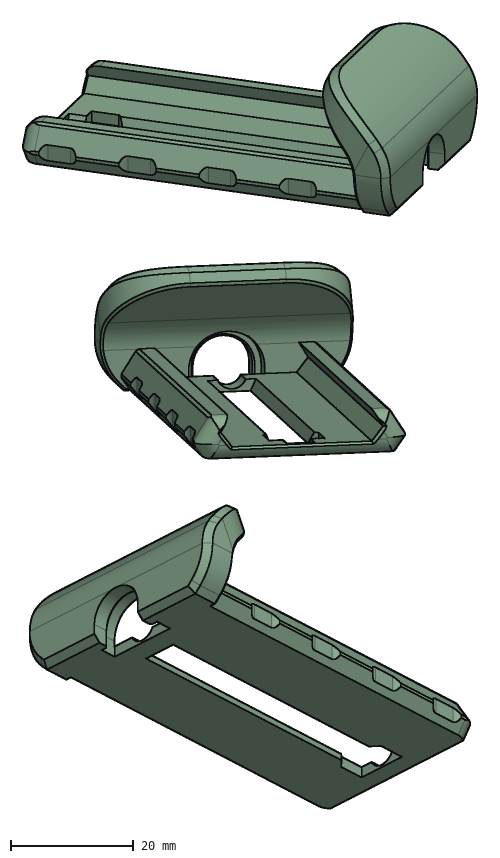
import cadquery as cq
import math

LENGTH = 66.0
LIP_HALF_WIDTH = 21.0

RAIL_TOP = 6.9
FLOOR_TOP = 2.0
RAIL_FACE = 17.55
RAIL_FACE_LOW, RAIL_FACE_HIGH = 2.25, 2.85
BOTTOM_HALF_WIDTH = 16.0
SLOPE_TOP = (15.2, 6.55)
TOP_BEVEL_Y = 14.6
CHANNEL_TOP, CHANNEL_WAIST, CHANNEL_FLOOR = 12.0, 13.5, 11.6
WAIST_Z = 4.4
END_RADIUS = 3.05
UNDERSIDE_CUT = 0.65
CHANNEL_BEVEL = 0.5

NOTCH_COUNT = 4
NOTCH_FIRST_X = 7.05
NOTCH_PITCH = 14.0
NOTCH_FLAT = 3.9
NOTCH_LENGTH = 6.5
NOTCH_DEPTH = 0.7

LIP_INNER_X = 59.9
BEND_START_Z = 8.0
TIP_INNER = (50.75, 18.95)
TIP_THICKNESS = 3.35
TIP_TILT = math.atan(2)
INNER_BEND_START_Z = RAIL_TOP
INNER_CORNER_Z = 9.85
OUTER_BEND_END = (64.55, 12.9)
TIP_FLAT_HALF_WIDTH = 8.0
LOWER_CORNER_RADIUS = 9.7
OUTER_CHAMFER = 1.2
INNER_CHAMFER = 0.4
OUTER_FACE_POINTS = [(LENGTH, 0, 3.95), (65.5, 0, 10.55), (59.4, 0, 18.5)]
INNER_FACE_POINTS = [(LIP_INNER_X, 0, 3.95), (59.35, 0, 9.9), (54.1, 0, 15.65)]

ARCH_CENTER_Z = 3.0
ARCH_RADIUS = 4.95
ARCH_RECESS_RADIUS = 6.35
ARCH_STEP_X = 62.9
ARCH_BEVEL = 0.3

SLOT_START, SLOT_END = 4.55, 55.9
HEAD_END, NECK_START = 9.3, 10.6
HEAD_HALF_WIDTH = 4.6
SLOT_TOP_HALF_WIDTH, SLOT_HALF_WIDTH = 4.0, 3.1
TROUGH_RADIUS = 2.5
TROUGH_AXIS_Z = ARCH_CENTER_Z
TROUGH_START = 1.5

REACH = 2 * LENGTH


def mirrored_section(half):
    """Closed YZ section from its +Y half, listed from the bottom up."""
    other_half = [(-y, z) for y, z in reversed(half)]
    return cq.Workplane("YZ").polyline(half + other_half).close()


def rounded_end_slab(face_start, face_end):
    """Solid behind one outer face of the tray, rounded where that face meets the X = 0 end.

    The face holds the two (Y, Z) points; the solid lies to the left going from start to end.
    """
    dy = face_end[0] - face_start[0]
    dz = face_end[1] - face_start[1]
    plane = cq.Plane(
        origin=(0, face_start[0], face_start[1]),
        xDir=(1, 0, 0),
        normal=(0, dy, dz),
    )
    return (
        cq.Workplane(plane)
        .moveTo(END_RADIUS, 0)
        .lineTo(LENGTH, 0)
        .lineTo(LENGTH, -REACH)
        .lineTo(0, -REACH)
        .lineTo(0, -END_RADIUS)
        .radiusArc((END_RADIUS, 0), END_RADIUS)
        .close()
        .extrude(REACH, both=True)
    )


def make_tray():
    section = mirrored_section([
        (BOTTOM_HALF_WIDTH, 0),
        (RAIL_FACE, RAIL_FACE_LOW),
        (RAIL_FACE, RAIL_FACE_HIGH),
        SLOPE_TOP,
        (TOP_BEVEL_Y, RAIL_TOP),
    ])
    tray = section.extrude(LIP_INNER_X + INNER_CHAMFER)

    tray = tray.intersect(rounded_end_slab((0, RAIL_TOP), (-1, RAIL_TOP)))
    tray = tray.intersect(rounded_end_slab((0, -UNDERSIDE_CUT), (1, -UNDERSIDE_CUT)))
    for start, end in (
        ((RAIL_FACE, RAIL_FACE_HIGH), SLOPE_TOP),
        ((BOTTOM_HALF_WIDTH, 0), (RAIL_FACE, RAIL_FACE_LOW)),
    ):
        slab = rounded_end_slab(start, end)
        tray = tray.intersect(slab).intersect(slab.mirror("XZ"))

    channel_half = [
        (CHANNEL_FLOOR, FLOOR_TOP),
        (CHANNEL_WAIST, WAIST_Z),
        (CHANNEL_TOP, RAIL_TOP),
    ]
    channel = mirrored_section(channel_half).extrude(LENGTH)
    mouth = mirrored_section(channel_half).offset2D(CHANNEL_BEVEL, "intersection")
    mouth_bevel = mouth.extrude(CHANNEL_BEVEL, taper=45)
    return tray.cut(channel).cut(mouth_bevel)


def grip_notches():
    half_flat = NOTCH_FLAT / 2
    half_length = NOTCH_LENGTH / 2
    run_out = half_length - half_flat
    radius = (run_out**2 + NOTCH_DEPTH**2) / (2 * NOTCH_DEPTH)
    bottom_y = RAIL_FACE - NOTCH_DEPTH
    notch = (
        cq.Workplane("XY")
        .moveTo(-half_length, RAIL_FACE)
        .radiusArc((-half_flat, bottom_y), -radius)
        .lineTo(half_flat, bottom_y)
        .radiusArc((half_length, RAIL_FACE), -radius)
        .close()
        .extrude(RAIL_TOP)
    )
    pair = notch.union(notch.mirror("XZ"))
    notches = cq.Workplane("XY")
    for i in range(NOTCH_COUNT):
        notches = notches.union(pair.translate((NOTCH_FIRST_X + i * NOTCH_PITCH, 0, 0)))
    return notches


def floor_slot():
    upper = [
        (SLOT_START, HEAD_HALF_WIDTH),
        (HEAD_END, HEAD_HALF_WIDTH),
        (NECK_START, SLOT_HALF_WIDTH),
        (SLOT_END, SLOT_HALF_WIDTH),
    ]
    lower = [(x, -y) for x, y in reversed(upper)]
    opening = cq.Workplane("XY").polyline(upper + lower).close().extrude(FLOOR_TOP)
    flared = (
        cq.Workplane("YZ", origin=(HEAD_END, 0, 0))
        .polyline([
            (-SLOT_HALF_WIDTH, 0),
            (SLOT_HALF_WIDTH, 0),
            (SLOT_TOP_HALF_WIDTH, FLOOR_TOP),
            (-SLOT_TOP_HALF_WIDTH, FLOOR_TOP),
        ])
        .close()
        .extrude(SLOT_END - HEAD_END)
    )
    return opening.union(flared)


def trough(start_x, end_x):
    return (
        cq.Workplane("YZ", origin=(start_x, 0, TROUGH_AXIS_Z))
        .circle(TROUGH_RADIUS)
        .extrude(end_x - start_x)
    )


def rim_edges(lip, face_points):
    """Edges around the group of faces that lie nearest to the given points."""
    faces = [lip.faces(cq.selectors.NearestToPointSelector(p)).val() for p in face_points]
    edges = [edge for face in faces for edge in face.Edges()]
    return [e for e in edges if sum(e.isSame(other) for other in edges) == 1]


def make_lip():
    across_x = math.cos(TIP_TILT)
    across_z = math.sin(TIP_TILT)
    tip_outer = (
        TIP_INNER[0] + TIP_THICKNESS * across_x,
        TIP_INNER[1] + TIP_THICKNESS * across_z,
    )
    tangent_length = INNER_CORNER_Z - INNER_BEND_START_Z
    slope_x = TIP_INNER[0] - LIP_INNER_X
    slope_z = TIP_INNER[1] - INNER_CORNER_Z
    slope_length = math.hypot(slope_x, slope_z)
    inner_bend_end = (
        LIP_INNER_X + tangent_length * slope_x / slope_length,
        INNER_CORNER_Z + tangent_length * slope_z / slope_length,
    )
    hook = (
        cq.Workplane("XZ")
        .moveTo(LENGTH, 0)
        .lineTo(LENGTH, BEND_START_Z)
        .tangentArcPoint(OUTER_BEND_END, relative=False)
        .tangentArcPoint(tip_outer, relative=False)
        .lineTo(*TIP_INNER)
        .lineTo(*inner_bend_end)
        .tangentArcPoint((LIP_INNER_X, INNER_BEND_START_Z), relative=False)
        .lineTo(LIP_INNER_X, 0)
        .close()
        .extrude(LIP_HALF_WIDTH + 0.65, both=True)
    )

    tip_plane = cq.Plane(
        origin=(TIP_INNER[0], 0, TIP_INNER[1]),
        xDir=(0, 1, 0),
        normal=(across_x, 0, across_z),
    )
    corner = LIP_HALF_WIDTH - TIP_FLAT_HALF_WIDTH
    tip_outline = (
        cq.Workplane(tip_plane)
        .moveTo(-LIP_HALF_WIDTH, -REACH)
        .lineTo(-LIP_HALF_WIDTH, -corner)
        .radiusArc((-TIP_FLAT_HALF_WIDTH, 0), corner)
        .lineTo(TIP_FLAT_HALF_WIDTH, 0)
        .radiusArc((LIP_HALF_WIDTH, -corner), corner)
        .lineTo(LIP_HALF_WIDTH, -REACH)
        .close()
        .extrude(REACH, both=True)
    )

    arc_inset = LOWER_CORNER_RADIUS * (1 - math.sqrt(0.5))
    arc_end_y = LIP_HALF_WIDTH - arc_inset
    arc_end_z = BEND_START_Z - LOWER_CORNER_RADIUS * math.sqrt(0.5)
    foot_y = arc_end_y - arc_end_z
    plate_outline = (
        cq.Workplane("YZ")
        .moveTo(-foot_y, 0)
        .lineTo(foot_y, 0)
        .lineTo(arc_end_y, arc_end_z)
        .radiusArc((LIP_HALF_WIDTH, BEND_START_Z), -LOWER_CORNER_RADIUS)
        .lineTo(LIP_HALF_WIDTH, REACH)
        .lineTo(-LIP_HALF_WIDTH, REACH)
        .lineTo(-LIP_HALF_WIDTH, BEND_START_Z)
        .radiusArc((-arc_end_y, arc_end_z), -LOWER_CORNER_RADIUS)
        .close()
        .extrude(LENGTH)
    )
    lip = hook.intersect(tip_outline).intersect(plate_outline)
    lip = lip.newObject(rim_edges(lip, OUTER_FACE_POINTS)).chamfer(OUTER_CHAMFER)
    lip = lip.newObject(rim_edges(lip, INNER_FACE_POINTS)).chamfer(INNER_CHAMFER)
    return lip


def arch_opening():
    def arched_block(radius, start_x, end_x, bottom_z=0.0):
        return (
            cq.Workplane("YZ", origin=(start_x, 0, 0))
            .moveTo(-radius, bottom_z)
            .lineTo(-radius, ARCH_CENTER_Z)
            .threePointArc((0, ARCH_CENTER_Z + radius), (radius, ARCH_CENTER_Z))
            .lineTo(radius, bottom_z)
            .close()
            .extrude(end_x - start_x)
        )

    mouth = arched_block(ARCH_RECESS_RADIUS, SLOT_END, LIP_INNER_X, FLOOR_TOP)
    recess = arched_block(ARCH_RECESS_RADIUS, LIP_INNER_X, ARCH_STEP_X)
    bore = arched_block(ARCH_RADIUS, ARCH_STEP_X, LENGTH)
    bevel_end = ARCH_STEP_X + ARCH_BEVEL
    bevel = arched_block(ARCH_RADIUS + ARCH_BEVEL, LIP_INNER_X, bevel_end, -ARCH_BEVEL)
    bevel = bevel.faces(">X").chamfer(ARCH_BEVEL)
    return mouth.union(recess).union(bore).union(bevel)


result = make_tray().cut(grip_notches()).cut(floor_slot())
result = result.cut(trough(TROUGH_START, SLOT_START)).cut(trough(SLOT_END, LIP_INNER_X))
result = result.union(make_lip()).cut(arch_opening())